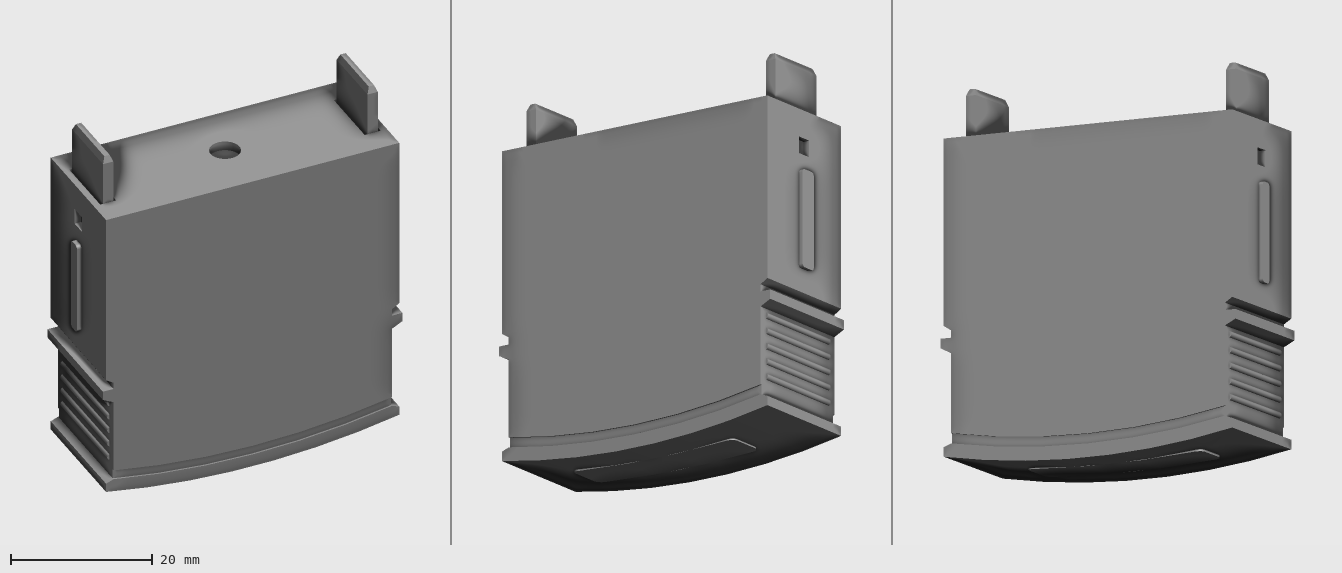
import cadquery as cq
import math

width = 18.0
total_height = 55.7
total_depth = 47.4
wall = 1.0

body_half_depth = 23.0
neck_half_depth = 21.85
ledge_half_depth = 23.5
body_top = 48.0
body_bottom = 21.0
neck_top = 20.3
ledge_top = 19.2
ledge_bottom = 17.8
neck_bottom = 17.0

bottom_radius = 122.55
cover_thickness = 2.0
groove_height = 1.45
groove_depth = 0.3

flange_top = 3.55

window_width = 6.45
window_front = -15.05
window_back = 12.9
window_corner = 1.1
window_radius = 183.8
window_depth = 1.0

plate_thickness = 2.0
plate_hole_diameter = 4.5
plate_hole_depth = 1.45

blade_width = 10.0
blade_thickness = 1.6
blade_tip_height = 1.0
blade_tip_inset = 0.4
slot_length = 2.5

rib_count = 5
rib_radius = 0.5
rib_sink = 0.15
rib_length = 15.25
rib_first_z = 6.95
rib_last_z = 16.0

pocket_size = 2.45
pocket_z = 42.65

front_key_width = 1.95
back_key_width = 2.75
key_bottom = 24.5
key_top = 39.05
key_corner = 0.5

arc_center_z = bottom_radius
housing_bottom_radius = bottom_radius - cover_thickness
groove_top_radius = housing_bottom_radius - groove_height
plate_width = width - 2 * wall
cavity_half_depth = body_half_depth - wall
plate_bottom = body_top - plate_thickness
blade_y = cavity_half_depth - slot_length / 2
key_protrusion = total_depth / 2 - body_half_depth
both_ends = (-1, 1)


def arc_z(radius, y):
    """Height of the lower arc of the given radius at depth y."""
    return arc_center_z - math.sqrt(radius**2 - y**2)


def block(x_size, y_from, y_to, z_from, z_to):
    """Box centred on X = 0 between the given Y and Z limits."""
    return cq.Workplane("XY").box(
        x_size, y_to - y_from, z_to - z_from, centered=(True, False, False)
    ).translate((0, y_from, z_from))


def x_cylinder(radius, length, y, z):
    """Cylinder along X, centred on X = 0."""
    return cq.Workplane("YZ").center(y, z).circle(radius).extrude(length / 2, both=True)


def end_block(x_size, end, y_inner, y_outer, z_from, z_to):
    """Block at the front (end = -1) or back (end = 1), between two distances from Y = 0."""
    y_from, y_to = sorted((end * y_inner, end * y_outer))
    return block(x_size, y_from, y_to, z_from, z_to)


def make_housing_shell():
    """Side outline extruded across the width, with a curved underside."""
    back_side = [
        (body_half_depth, body_top),
        (body_half_depth, body_bottom),
        (neck_half_depth, neck_top),
        (neck_half_depth, ledge_top),
        (ledge_half_depth, ledge_top),
        (ledge_half_depth, ledge_bottom),
        (neck_half_depth, neck_bottom),
        (neck_half_depth, arc_z(housing_bottom_radius, neck_half_depth)),
    ]
    front_side = [(-y, z) for y, z in reversed(back_side)]
    return (
        cq.Workplane("YZ")
        .polyline(back_side)
        .threePointArc((0, cover_thickness), front_side[0])
        .polyline(front_side[1:], includeCurrent=True)
        .close()
        .extrude(width / 2, both=True)
    )


def make_side_grooves():
    """Shallow curved bands along the lower edge of both wide sides."""
    band = block(width, -neck_half_depth, neck_half_depth, 0, neck_bottom).cut(
        x_cylinder(groove_top_radius, width, 0, arc_center_z)
    )
    core = block(width - 2 * groove_depth, -neck_half_depth, neck_half_depth, 0, neck_bottom)
    return band.cut(core)


def make_grip_ribs():
    """Round-faced ribs below the ledge at both ends."""
    pitch = (rib_last_z - rib_first_z) / (rib_count - 1)
    rib_y = neck_half_depth - rib_sink
    ribs = cq.Workplane("XY")
    for end in both_ends:
        for index in range(rib_count):
            rib_z = rib_first_z + index * pitch
            ribs = ribs.add(x_cylinder(rib_radius, rib_length, end * rib_y, rib_z))
    return ribs


def cut_square_pockets(housing):
    """Square pocket as deep as the end wall is thick, above the key, at both ends."""
    for end in both_ends:
        pocket = end_block(
            pocket_size,
            end,
            cavity_half_depth,
            body_half_depth,
            pocket_z - pocket_size / 2,
            pocket_z + pocket_size / 2,
        )
        housing = housing.cut(pocket)
    return housing


def make_housing():
    """Solid housing with side grooves, grip ribs, plate recess and square pockets."""
    housing = make_housing_shell().cut(make_side_grooves())
    for rib in make_grip_ribs().vals():
        housing = housing.union(cq.Workplane(rib))
    housing = housing.cut(make_plate_recess())
    return cut_square_pockets(housing)


def make_plate_recess():
    """Space in the top of the housing: full depth, less the wall between the plate's tabs."""
    recess = block(plate_width, -body_half_depth, body_half_depth, plate_bottom, body_top)
    for end in both_ends:
        recess = recess.cut(
            end_block(blade_width, end, cavity_half_depth, body_half_depth, plate_bottom, body_top)
        )
    return recess


def make_top_plate():
    """Plate filling the recess, with a slot for each blade and a round blind hole."""
    plate = make_plate_recess()
    for end in both_ends:
        plate = plate.cut(
            end_block(
                blade_width,
                end,
                cavity_half_depth - slot_length,
                cavity_half_depth,
                plate_bottom,
                body_top,
            )
        )
    return plate.cut(
        cq.Workplane("XY", origin=(0, 0, body_top))
        .circle(plate_hole_diameter / 2)
        .extrude(-plate_hole_depth)
    )


def make_blade(end):
    """Flat blade standing in a plate slot, with a tapered tip."""
    tip_base = total_height - blade_tip_height
    taper = math.degrees(math.atan2(blade_tip_inset, blade_tip_height))
    shank = (
        cq.Workplane("XY", origin=(0, end * blade_y, plate_bottom))
        .rect(blade_width, blade_thickness)
        .extrude(tip_base - plate_bottom)
    )
    tip = (
        cq.Workplane("XY", origin=(0, end * blade_y, tip_base))
        .rect(blade_width, blade_thickness)
        .extrude(blade_tip_height, taper=taper)
    )
    return shank.union(tip)


def make_key(end, key_width):
    """Upright bar on an end face, with rounded corners."""
    return end_block(
        key_width, end, body_half_depth, body_half_depth + key_protrusion, key_bottom, key_top
    ).edges("|Y").fillet(key_corner)


def make_window():
    """Round-cornered panel with a curved underside."""
    prism = block(window_width, window_front, window_back, 0, body_bottom)
    prism = prism.edges("|Z").fillet(window_corner)
    outer = x_cylinder(window_radius, width, 0, window_radius)
    inner = x_cylinder(window_radius - window_depth, width, 0, window_radius)
    return prism.intersect(outer).cut(inner)


def make_bottom_cover(window):
    """Curved cover with a flange at each end and a recess for the window."""
    neck_corner_z = arc_z(housing_bottom_radius, neck_half_depth)
    flange_bottom = arc_z(bottom_radius, body_half_depth)
    cover = (
        cq.Workplane("YZ")
        .moveTo(-neck_half_depth, neck_corner_z)
        .threePointArc((0, cover_thickness), (neck_half_depth, neck_corner_z))
        .lineTo(body_half_depth, flange_top)
        .lineTo(body_half_depth, flange_bottom)
        .threePointArc((0, 0), (-body_half_depth, flange_bottom))
        .lineTo(-body_half_depth, flange_top)
        .close()
        .extrude(width / 2, both=True)
    )
    return cover.cut(window)


top_plate = make_top_plate()
housing = make_housing()
blades = [make_blade(end) for end in both_ends]
front_key = make_key(-1, front_key_width)
back_key = make_key(1, back_key_width)
window = make_window()
bottom_cover = make_bottom_cover(window)

result = cq.Compound.makeCompound(
    [
        housing.val(),
        top_plate.val(),
        *[blade.val() for blade in blades],
        front_key.val(),
        back_key.val(),
        bottom_cover.val(),
        window.val(),
    ]
)